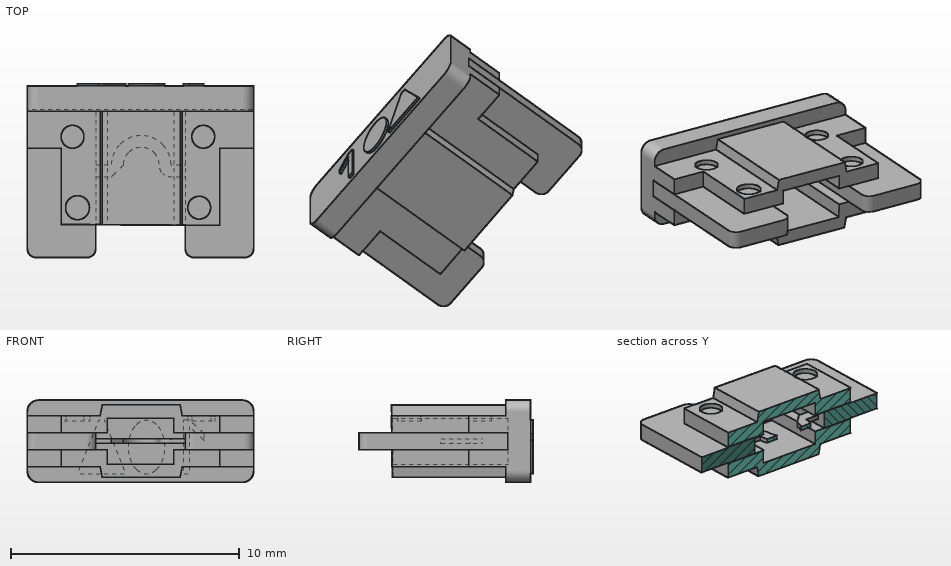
import cadquery as cq
import math


head_width = 9.9
head_height = 3.6
head_thickness = 1.1
head_corner_diameter = 1.0

body_width = 6.91
body_half_height = 1.11
body_end = -6.06
shoulder_end = -2.71
end_turn = 0.3
end_lean = 0.7
end_allowance = 0.495

pad_half_height = 1.58
pad_base_width = 3.58
pad_top_width = 3.41
pad_center_x = 0.03

blade_width = 3.0
blade_thickness = 0.76
blade_start = -1.01
blade_end = -7.5
blade_corner_diameter = 0.8
cavity_width = 2.89
cavity_height = 2.0

recess_depth = 0.21
small_recess_diameter = 1.0
large_recess_diameter = 1.05
recesses = [
    (-2.97, -2.22, small_recess_diameter),
    (2.74, -2.22, small_recess_diameter),
    (-2.75, -5.32, large_recess_diameter),
    (2.56, -5.32, small_recess_diameter),
]

link_thickness = 0.2
link_front = -3.96
link_bend = 0.51
link_arch_radius = 0.78
link_arch_x = 0.02

mark_height = 0.1
mark_top = 0.93
mark_bottom = -1.42
wedge_left, wedge_right = -2.77, -0.65
wedge_tip_left, wedge_tip_right = -1.83, -1.59
oval_left, oval_right = -0.54, 1.05
bar_left, bar_right = 1.87, 2.14
flag_right = 2.77
flag_drop = 0.59
flag_width = 0.3


def block(width, y_front, y_back, height):
    """Box centred on X and Z that reaches from y_front to y_back."""
    return cq.Workplane("XY").box(width, y_back - y_front, height).translate((0, (y_front + y_back) / 2, 0))


def make_pad(side):
    """Raised pad on the top (side = 1) or the bottom (side = -1) of the body."""
    pad_outline = [
        (-pad_base_width / 2, 0),
        (-pad_base_width / 2, side * body_half_height),
        (-pad_top_width / 2, side * pad_half_height),
        (pad_top_width / 2, side * pad_half_height),
        (pad_base_width / 2, side * body_half_height),
        (pad_base_width / 2, 0),
    ]
    pad = cq.Workplane("XZ").polyline(pad_outline).close().extrude(end_allowance - body_end)
    return pad.translate((pad_center_x, 0, 0))


def make_housing():
    head = block(head_width, -head_thickness, 0, head_height).edges("|Y").fillet(head_corner_diameter / 2)
    body = block(body_width, body_end - end_allowance, 0, 2 * body_half_height)
    shoulders = block(head_width, shoulder_end, -head_thickness, 2 * body_half_height)
    housing = head.union(body).union(shoulders).union(make_pad(1)).union(make_pad(-1))

    end_cut = (
        block(2 * head_width, -head_width, 0, 2 * head_height)
        .rotate((0, 0, 0), (1, 0, 0), end_lean)
        .rotate((0, 0, 0), (0, 0, 1), -end_turn)
        .translate((0, body_end, 0))
    )
    housing = housing.cut(end_cut)

    housing = housing.cut(block(head_width, blade_end, blade_start, blade_thickness))
    housing = housing.cut(block(cavity_width, blade_end, blade_start, cavity_height))

    for x, y, diameter in recesses:
        recess = (
            cq.Workplane("XY", origin=(x, y, body_half_height - recess_depth))
            .circle(diameter / 2)
            .extrude(recess_depth)
        )
        housing = housing.cut(recess)
    return housing


def make_blade(side):
    """Contact blade on the left (side = -1) or the right (side = 1)."""
    blade = block(blade_width, blade_end, blade_start, blade_thickness)
    blade = blade.edges("|Z and <Y").fillet(blade_corner_diameter / 2)
    return blade.translate((side * (head_width - blade_width) / 2, 0, 0))


def make_link():
    """Flat strip from blade to blade with an arch in the middle."""
    end_x = head_width / 2 - blade_width
    arch_y = link_front + link_bend
    outer_radius = link_arch_radius + link_bend
    inner_left = link_arch_x - link_arch_radius
    inner_right = link_arch_x + link_arch_radius
    bend_offset = link_bend * (1 - math.sqrt(0.5))
    return (
        cq.Workplane("XY", origin=(0, 0, -link_thickness / 2))
        .moveTo(-end_x, link_front)
        .lineTo(inner_left - link_bend, link_front)
        .lineTo(inner_left, arch_y)
        .threePointArc((link_arch_x, arch_y + link_arch_radius), (inner_right, arch_y))
        .threePointArc(
            (inner_right + bend_offset, link_front + bend_offset),
            (inner_right + link_bend, link_front),
        )
        .lineTo(end_x, link_front)
        .lineTo(end_x, arch_y)
        .lineTo(link_arch_x + outer_radius, arch_y)
        .threePointArc((link_arch_x, arch_y + outer_radius), (link_arch_x - outer_radius, arch_y))
        .lineTo(-end_x, arch_y)
        .close()
        .extrude(link_thickness)
    )


def make_wedge_mark():
    wedge_outline = [
        (wedge_left, mark_bottom),
        (wedge_tip_left, mark_top),
        (wedge_tip_right, mark_top),
        (wedge_right, mark_bottom),
    ]
    return cq.Workplane("XZ").polyline(wedge_outline).close().extrude(-mark_height)


def make_oval_mark():
    oval_center = ((oval_left + oval_right) / 2, (mark_top + mark_bottom) / 2)
    return (
        cq.Workplane("XZ")
        .center(*oval_center)
        .ellipse((oval_right - oval_left) / 2, (mark_top - mark_bottom) / 2)
        .extrude(-mark_height)
    )


def make_bar_mark():
    """Upright bar with a flag sloping down toward +X."""
    bar_outline = [
        (bar_left, mark_bottom),
        (bar_left, mark_top),
        (bar_right, mark_top),
        (flag_right, mark_top - flag_drop),
        (flag_right, mark_top - flag_drop - flag_width),
        (bar_right, mark_top - flag_width),
        (bar_right, mark_bottom),
    ]
    return cq.Workplane("XZ").polyline(bar_outline).close().extrude(-mark_height)


housing = make_housing()
blades = [make_blade(side) for side in (-1, 1)]
link = make_link()
wedge_mark = make_wedge_mark()
oval_mark = make_oval_mark()
bar_mark = make_bar_mark()

result = cq.Compound.makeCompound([
    housing.val(),
    *[blade.val() for blade in blades],
    link.val(),
    wedge_mark.val(),
    oval_mark.val(),
    bar_mark.val(),
])